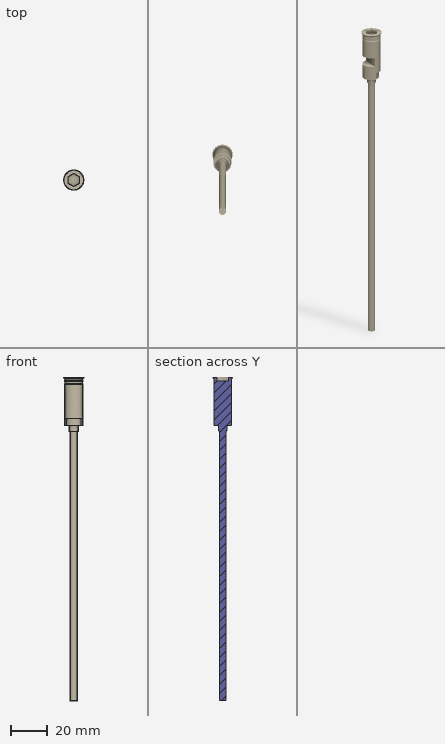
import cadquery as cq
import math

total_length = 176.5
rod_diameter = 4.0

flange_diameter = 11.0
flange_rim = 0.35
flange_depth = 1.0
groove_diameter = 9.6
head_diameter = 10.0
ring_top_depth = 1.8
ring_thickness = 0.6
body_top_depth = 3.3
body_top_chamfer = 0.5
head_depth = 26.4

collar_diameter = 5.0
collar_depth = 29.5

relief_diameter = 8.2
relief_top_depth = 22.45
relief_wall_angle = 45

notch_top_depth = 13.5
notch_height = 5.0
notch_floor_y = 0.6

hex_across_flats = 6.2
hex_depth = 2.0

overcut = 1.0


def make_turned_body():
    """Revolve the head, collar and rod around Z, with the top face at z = 0."""
    head_radius = head_diameter / 2
    groove_radius = groove_diameter / 2
    collar_radius = collar_diameter / 2
    rod_radius = rod_diameter / 2
    ring_bottom_depth = ring_top_depth + ring_thickness
    outline = [
        (0, 0),
        (flange_diameter / 2, 0),
        (flange_diameter / 2, -flange_rim),
        (groove_radius, -flange_depth),
        (groove_radius, -ring_top_depth),
        (head_radius, -ring_top_depth),
        (head_radius, -ring_bottom_depth),
        (groove_radius, -ring_bottom_depth),
        (groove_radius, -body_top_depth),
        (head_radius, -body_top_depth - body_top_chamfer),
        (head_radius, -head_depth),
        (collar_radius, -head_depth),
        (collar_radius, -collar_depth),
        (rod_radius, -collar_depth),
        (rod_radius, -total_length),
        (0, -total_length),
    ]
    return cq.Workplane("XZ").polyline(outline).close().revolve(360, (0, 0), (0, 1))


def make_relief():
    """Cutter around the relief cylinder, ending at walls that slope in from the head's X extremes."""
    head_radius = head_diameter / 2
    reach = head_radius + overcut
    wall_slope = math.tan(math.radians(relief_wall_angle))
    wall_foot_x = relief_diameter / 2 - overcut
    wall_foot_y = -(head_radius - wall_foot_x) * wall_slope
    height = head_depth - relief_top_depth
    wedge = (
        cq.Workplane("XY")
        .workplane(offset=-head_depth)
        .moveTo(-reach, overcut * wall_slope)
        .lineTo(-wall_foot_x, wall_foot_y)
        .lineTo(wall_foot_x, wall_foot_y)
        .lineTo(reach, overcut * wall_slope)
        .lineTo(reach, -reach)
        .lineTo(-reach, -reach)
        .close()
        .extrude(height)
    )
    core = cq.Workplane("XY").workplane(offset=-head_depth).circle(relief_diameter / 2).extrude(height)
    return wedge.cut(core)


def make_notch():
    """Box cutter for the side notch."""
    length = head_diameter + 2 * overcut
    depth = head_diameter / 2 - notch_floor_y + overcut
    return (
        cq.Workplane("XY")
        .box(length, depth, notch_height, centered=(True, False, False))
        .translate((0, notch_floor_y, -notch_top_depth - notch_height))
    )


def make_hex_socket():
    """Hexagonal prism cutter, turned so that its corners lie on the Y axis."""
    corner_diameter = hex_across_flats / math.cos(math.radians(30))
    prism = cq.Workplane("XY").polygon(6, corner_diameter).extrude(-hex_depth)
    return prism.rotate((0, 0, 0), (0, 0, 1), 90)


result = make_turned_body().cut(make_relief()).cut(make_notch()).cut(make_hex_socket())